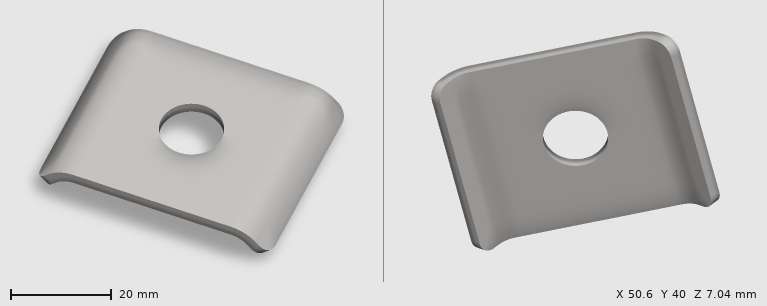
import cadquery as cq
import math

overall_length = 50.6
width = 40.0
thickness = 2.5
flat_length = 33.85
outer_bend_radius = 7.5
bend_angle = 45.0
corner_radius = 3.0
hole_diameter = 13.0

angle = math.radians(bend_angle)
sine, cosine = math.sin(angle), math.cos(angle)
half_flat = flat_length / 2
inner_bend_radius = outer_bend_radius - thickness

bend_center_z = -outer_bend_radius
bend_end_x = half_flat + outer_bend_radius * sine
flange_length = (overall_length / 2 - bend_end_x) / cosine
tip_x = overall_length / 2
tip_z = bend_center_z + outer_bend_radius * cosine - flange_length * sine


def bend_point(radius, turn):
    """Point on the right-hand bend after turning away from the flat."""
    return (half_flat + radius * math.sin(turn), bend_center_z + radius * math.cos(turn))


def mirrored(point):
    return (-point[0], point[1])


def bent_sheet():
    """Constant-thickness strip with a downward flange at each end."""
    outer_start, outer_mid, outer_end = [bend_point(outer_bend_radius, a) for a in (0, angle / 2, angle)]
    inner_start, inner_mid, inner_end = [bend_point(inner_bend_radius, a) for a in (0, angle / 2, angle)]
    outer_tip = (tip_x, tip_z)
    inner_tip = (tip_x - thickness * sine, tip_z - thickness * cosine)
    return (
        cq.Workplane("XZ")
        .moveTo(*mirrored(outer_start))
        .lineTo(*outer_start)
        .threePointArc(outer_mid, outer_end)
        .lineTo(*outer_tip)
        .lineTo(*inner_tip)
        .lineTo(*inner_end)
        .threePointArc(inner_mid, inner_start)
        .lineTo(*mirrored(inner_start))
        .threePointArc(mirrored(inner_mid), mirrored(inner_end))
        .lineTo(*mirrored(inner_tip))
        .lineTo(*mirrored(outer_tip))
        .lineTo(*mirrored(outer_end))
        .threePointArc(mirrored(outer_mid), mirrored(outer_start))
        .close()
        .extrude(width / 2, both=True)
    )


def round_flange_corners(sheet):
    """Round the four free corners through the sheet thickness."""
    for side in (-1, 1):
        through_sheet = cq.Vector(side * sine, 0, cosine)
        corners = cq.selectors.ParallelDirSelector(through_sheet)
        tip_edges = sheet.edges(corners).edges(">X" if side > 0 else "<X")
        sheet = tip_edges.fillet(corner_radius)
    return sheet


def drill_center_hole(sheet):
    cutter = (
        cq.Workplane("XY")
        .circle(hole_diameter / 2)
        .extrude(-2 * thickness)
    )
    return sheet.cut(cutter)


result = drill_center_hole(round_flange_corners(bent_sheet()))